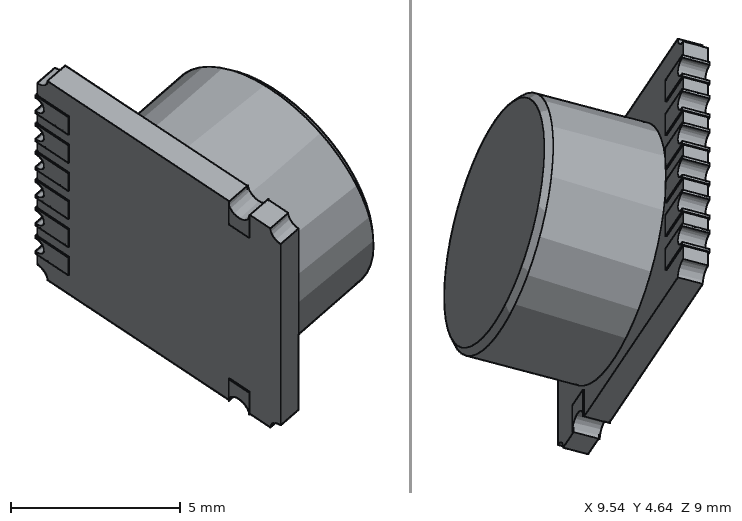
import cadquery as cq

board_width = 9.5
board_height = 9.0
board_thickness = 0.8
corner_radius = 0.4

plating = 0.04
pad_width = 0.8

edge_pad_count = 6
edge_pad_pitch = 1.27
edge_pad_length = 1.25
edge_pad_row_centre = -0.025
edge_notch_radius = 0.3

end_pad_length = 1.0
end_pad_to_right_edge = 1.6
end_notch_radius = 0.4

can_radius = 4.0
can_height = 3.8
can_centre_x = 0.55
can_chamfer = 0.2

left_edge = -board_width / 2
right_edge = board_width / 2
top_edge = board_height / 2
plated_thickness = board_thickness + 2 * plating
end_pad_x = right_edge - end_pad_to_right_edge
first_edge_pad_z = edge_pad_row_centre - edge_pad_pitch * (edge_pad_count - 1) / 2


def plated_box(x_min, x_max, z_min, z_max):
    """Block covering the board and the plating on both of its faces."""
    return cq.Workplane("XY").box(
        x_max - x_min, plated_thickness, z_max - z_min, centered=False
    ).translate((x_min, -plating, z_min))


def round_cutter(x, z, radius):
    """Cylinder along Y that passes through the board and its plating."""
    start = cq.Workplane("XZ", origin=(x, -plating, z))
    return start.circle(radius).extrude(-plated_thickness)


def make_board():
    board = cq.Workplane("XY").box(
        board_width, board_thickness, board_height, centered=(True, False, True)
    )
    for x in (left_edge, right_edge):
        for z in (-top_edge, top_edge):
            board = board.cut(round_cutter(x, z, corner_radius))
    return board


def make_can():
    base = cq.Workplane("XZ", origin=(can_centre_x, board_thickness, 0))
    can = base.circle(can_radius).extrude(-can_height)
    return can.faces(">Y").chamfer(can_chamfer)


def add_edge_pad(body, z):
    """Pad wrapped around the left edge, with a round-bottomed notch."""
    outer_edge = left_edge - plating
    pad = plated_box(outer_edge, left_edge + edge_pad_length, z - pad_width / 2, z + pad_width / 2)
    notch_mouth = plated_box(outer_edge, left_edge, z - edge_notch_radius, z + edge_notch_radius)
    notch = notch_mouth.union(round_cutter(left_edge, z, edge_notch_radius))
    return body.union(pad).cut(notch)


def add_end_pad(body, side):
    """Pad on the top (side = 1) or bottom (side = -1) edge, flush with that edge."""
    edge_z = side * top_edge
    inner_z = side * (top_edge - end_pad_length)
    pad = plated_box(
        end_pad_x - pad_width / 2,
        end_pad_x + pad_width / 2,
        min(edge_z, inner_z),
        max(edge_z, inner_z),
    )
    return body.union(pad).cut(round_cutter(end_pad_x, edge_z, end_notch_radius))


plated_board = make_board()
for index in range(edge_pad_count):
    plated_board = add_edge_pad(plated_board, first_edge_pad_z + index * edge_pad_pitch)
for end_side in (1, -1):
    plated_board = add_end_pad(plated_board, end_side)

result = plated_board.union(make_can())